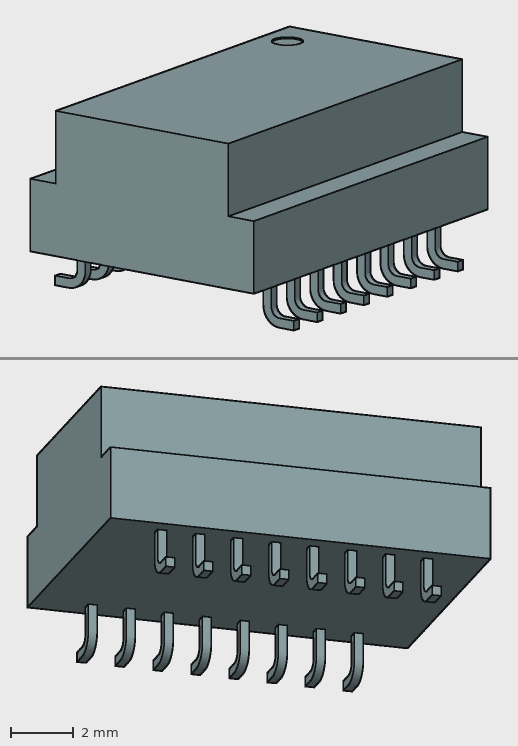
import cadquery as cq

body_length = 12.7
base_width = 8.8
crown_width = 6.8
base_height = 2.4
crown_height = 2.4

overall_height = 6.35
lead_span = 9.4
lead_thickness = 0.32
lead_width = 0.3
lead_pitch = 1.27
leads_per_side = 8
leg_inner_face = 3.5
bend_inner_radius = 0.33
bend_outer_radius = bend_inner_radius + lead_thickness

mark_diameter = 1.0
mark_depth = 0.05
mark_x = -2.4
mark_y = 4.85

body_bottom = overall_height - base_height - crown_height
body_top = overall_height


def make_body():
    """Stepped block with the pin 1 mark cut into its top."""
    base = cq.Workplane("XY", origin=(0, 0, body_bottom)).box(
        base_width, body_length, base_height, centered=(True, True, False)
    )
    crown = cq.Workplane("XY", origin=(0, 0, body_bottom + base_height)).box(
        crown_width, body_length, crown_height, centered=(True, True, False)
    )
    mark = (
        cq.Workplane("XY", origin=(mark_x, mark_y, body_top - mark_depth))
        .circle(mark_diameter / 2)
        .extrude(mark_depth)
    )
    return base.union(crown).cut(mark)


def make_lead():
    """One lead on the +X side, centred on Y = 0, with its foot pointing outward."""
    leg_outer_face = leg_inner_face + lead_thickness
    bend_end = leg_inner_face + bend_outer_radius
    foot_tip = lead_span / 2
    return (
        cq.Workplane("XZ")
        .moveTo(leg_inner_face, body_bottom)
        .lineTo(leg_inner_face, bend_outer_radius)
        .radiusArc((bend_end, 0), -bend_outer_radius)
        .lineTo(foot_tip, 0)
        .lineTo(foot_tip, lead_thickness)
        .lineTo(bend_end, lead_thickness)
        .radiusArc((leg_outer_face, bend_outer_radius), bend_inner_radius)
        .lineTo(leg_outer_face, body_bottom)
        .close()
        .extrude(lead_width / 2, both=True)
    )


result = make_body()
right_lead = make_lead()
left_lead = right_lead.mirror("YZ")
for index in range(leads_per_side):
    lead_y = (index - (leads_per_side - 1) / 2) * lead_pitch
    for lead in (left_lead, right_lead):
        result = result.union(lead.translate((0, lead_y, 0)))